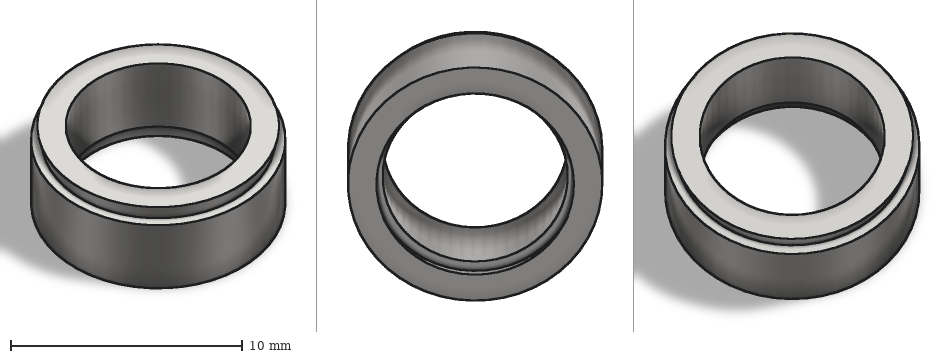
import cadquery as cq
import math

overall_height = 4.5
ring_offset = 0.8
outer_diameter = 11.0
bore_diameter = 8.0
cone_top_diameter = 10.45
cone_half_angle = 12.0

outer_ring_bottom = -overall_height / 2
outer_ring_top = outer_ring_bottom + overall_height - ring_offset
inner_ring_bottom = outer_ring_bottom + ring_offset
inner_ring_top = outer_ring_bottom + overall_height


def cone_radius(z):
    """Radius of the shared cone at height z; it widens upward."""
    drop = inner_ring_top - z
    return cone_top_diameter / 2 - drop * math.tan(math.radians(cone_half_angle))


def revolve_section(points):
    """Turn a section of (radius, z) points around the Z axis."""
    section = cq.Workplane("XZ").polyline(points).close()
    return section.revolve(360, (0, 0), (0, 1))


def make_outer_ring():
    """Cylindrical ring with a conical hole."""
    outer_radius = outer_diameter / 2
    return revolve_section([
        (cone_radius(outer_ring_bottom), outer_ring_bottom),
        (outer_radius, outer_ring_bottom),
        (outer_radius, outer_ring_top),
        (cone_radius(outer_ring_top), outer_ring_top),
    ])


def make_inner_ring():
    """Conical ring with a straight bore, protruding above the outer ring."""
    bore_radius = bore_diameter / 2
    return revolve_section([
        (bore_radius, inner_ring_bottom),
        (cone_radius(inner_ring_bottom), inner_ring_bottom),
        (cone_radius(inner_ring_top), inner_ring_top),
        (bore_radius, inner_ring_top),
    ])


outer_ring = make_outer_ring()
inner_ring = make_inner_ring()

result = cq.Compound.makeCompound([outer_ring.val(), inner_ring.val()])